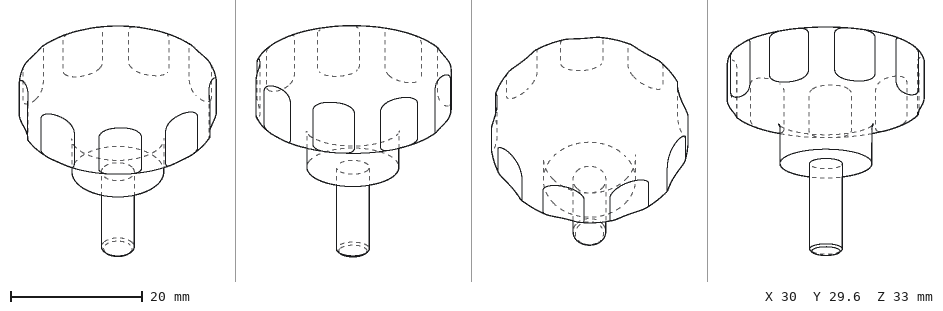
import cadquery as cq
import math

hub_radius = 7.0
hub_height = 7.0

grip_radius = 15.0
cone_rise = 2.0
total_height = 19.0
dome_rise = 2.0
edge_radius = 1.5

scallop_count = 9
scallop_radius = 10.0
scallop_floor_radius = 14.11
first_scallop_angle = -90.0

stud_radius = 2.5
stud_length = 14.0
stud_chamfer = 0.35

rim_bottom = hub_height + cone_rise
rim_top = total_height - dome_rise
dome_radius = (grip_radius**2 + dome_rise**2) / (2 * dome_rise)


def make_knob():
    """Revolve the hub and grip, then round the neck and both rims."""
    mid_radius = grip_radius / 2
    dome_mid_height = total_height - dome_radius + math.sqrt(dome_radius**2 - mid_radius**2)
    knob = (
        cq.Workplane("XZ")
        .lineTo(hub_radius, 0)
        .lineTo(hub_radius, hub_height)
        .lineTo(grip_radius, rim_bottom)
        .lineTo(grip_radius, rim_top)
        .threePointArc((mid_radius, dome_mid_height), (0, total_height))
        .close()
        .revolve(360, (0, 0, 0), (0, 1, 0))
    )
    rounded_edges = knob.edges("%CIRCLE").edges(
        cq.selectors.BoxSelector(
            (-grip_radius, -grip_radius, hub_height / 2),
            (grip_radius, grip_radius, (rim_top + total_height) / 2),
        )
    )
    return rounded_edges.fillet(edge_radius)


def cut_scallops(knob):
    """Cut the shallow vertical flutes evenly around the grip, above the hub."""
    cutters = (
        cq.Workplane("XY")
        .workplane(offset=hub_height)
        .polarArray(
            scallop_floor_radius + scallop_radius,
            first_scallop_angle,
            360,
            scallop_count,
        )
        .circle(scallop_radius)
        .extrude(total_height - hub_height, combine=False)
    )
    return knob.cut(cutters)


def make_stud():
    """Build the plain stud with its chamfered tip, starting at the hub base."""
    stud = cq.Workplane("XY").circle(stud_radius).extrude(-stud_length)
    return stud.faces("<Z").chamfer(stud_chamfer)


result = cut_scallops(make_knob()).union(make_stud())